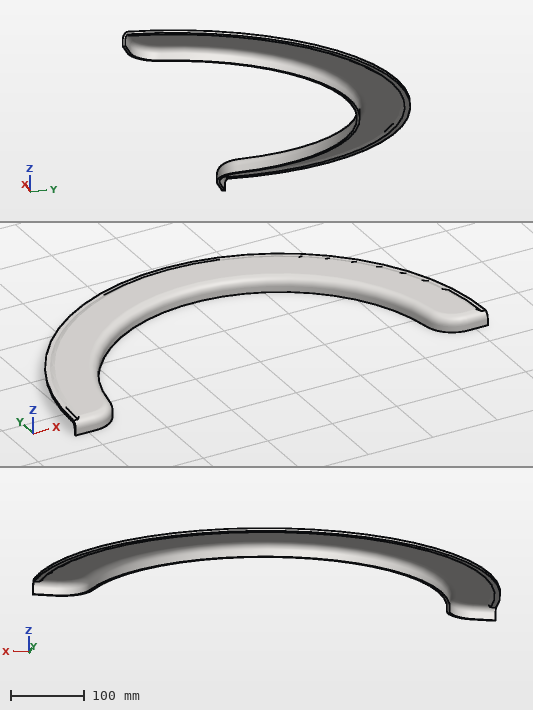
import cadquery as cq
import math

outer_radius = 319.5
inner_radius = 247.0
center_y = 2.5
height = 22.5
wall = 4.0
edge_round = 13.0
corner_radius = 44.0
flange_width = 6.5
flange_drop = 2.0
overrun = 32.0


def rounded_half_ring(inset):
    """Half ring offset inward by inset, extending past the outer edge."""
    ring_radius = outer_radius + overrun
    top = height - inset
    ring = (
        cq.Workplane("XY").center(0, center_y)
        .circle(ring_radius).circle(inner_radius + inset).extrude(top)
    )
    keep = (
        cq.Workplane("XY")
        .box(4 * ring_radius, 2 * ring_radius, top, centered=(True, False, False))
        .translate((0, inset, 0))
    )
    half_ring = ring.intersect(keep)
    inner_corners = cq.selectors.BoxSelector(
        (-inner_radius - 6.5, inset - 6.5, 0), (inner_radius + 6.5, inset + 6.5, top)
    )
    half_ring = half_ring.edges("|Z").edges(inner_corners).fillet(corner_radius - inset)

    skirt_edges = cq.selectors.BoxSelector(
        (-ring_radius, inset - 6.5, top - 6.5),
        (ring_radius, inner_radius + inset + center_y + 6.5, top + 6.5),
        boundingbox=True,
    )
    return half_ring.faces(">Z").edges(skirt_edges).fillet(edge_round - inset)


def outer_dome(inset, rim_radius):
    """Turned envelope with a rounded shoulder stepping down to the flange."""
    radius = edge_round - inset
    top = height - inset
    flange_z = height - flange_drop - inset
    flange_start = outer_radius - flange_width
    step_angle = math.acos(1 - flange_drop / edge_round)
    shoulder_x = flange_start - edge_round * math.sin(step_angle)
    arc_angle = math.acos(1 - flange_drop / radius)

    def shoulder_point(angle):
        return (shoulder_x + radius * math.sin(angle), top - radius * (1 - math.cos(angle)))

    return (
        cq.Workplane("XZ")
        .lineTo(rim_radius, 0)
        .lineTo(rim_radius, flange_z)
        .lineTo(*shoulder_point(arc_angle))
        .threePointArc(shoulder_point(arc_angle / 2), (shoulder_x, top))
        .lineTo(0, top)
        .close()
        .revolve(360, (0, 0), (0, 1))
        .translate((0, center_y, 0))
    )


body = rounded_half_ring(0).intersect(outer_dome(0, outer_radius))
cavity = rounded_half_ring(wall).intersect(outer_dome(wall, outer_radius + overrun / 2))
result = body.cut(cavity)